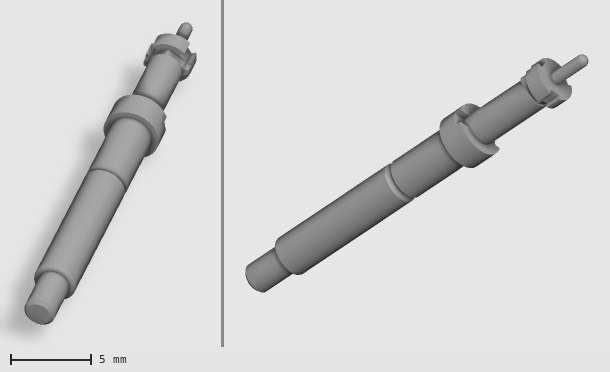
import cadquery as cq

TOTAL_LENGTH = 29.1

TAIL_RADIUS = 2.0 / 2
TAIL_LENGTH = 3.0
BARREL_RADIUS = 2.7 / 2
BARREL_LENGTH = 15.02
TAIL_CHAMFER = 0.23
BARREL_ROUND = 0.25
GROOVE_CENTRE_Y = 13.05
GROOVE_DEPTH = 0.25

COLLAR_RADIUS = 3.6 / 2
COLLAR_LENGTH = 1.78
NOTCH_WIDTH = 1.0
NOTCH_DEPTH = 0.47

NECK_RADIUS = 2.2 / 2
HEAD_RADIUS = 3.0 / 2
HEAD_LENGTH = 1.08
LUG_LENGTH = 0.5
LUG_REACH = 1.45
LUG_TIP_THICKNESS = 0.3
SLOT_WIDTH = 0.75
SLOT_FLOOR_DISTANCE = 1.13
SLOT_ANGLES = (30, 150, 270)
PIN_RADIUS = 0.81 / 2
PIN_LENGTH = 2.75

BARREL_END_Y = TAIL_LENGTH + BARREL_LENGTH
COLLAR_END_Y = BARREL_END_Y + COLLAR_LENGTH
HEAD_END_Y = TOTAL_LENGTH - PIN_LENGTH
HEAD_START_Y = HEAD_END_Y - HEAD_LENGTH
LUG_START_Y = HEAD_START_Y - LUG_LENGTH


def cross_section(start_y):
    """Workplane across the axis: local x is X, local y is Z, negative extrusions run along +Y."""
    plane = cq.Plane(origin=(0, start_y, 0), xDir=(1, 0, 0), normal=(0, -1, 0))
    return cq.Workplane(plane)


def cylinder(radius, start_y, end_y):
    return cross_section(start_y).circle(radius).extrude(start_y - end_y)


def rear_section():
    """Tail and barrel with a chamfered and a rounded rear rim, and a V groove around the barrel."""
    tail = cylinder(TAIL_RADIUS, 0, TAIL_LENGTH).faces("<Y").chamfer(TAIL_CHAMFER)
    barrel = cylinder(BARREL_RADIUS, TAIL_LENGTH, BARREL_END_Y).faces("<Y").edges().fillet(BARREL_ROUND)
    groove = (
        cq.Workplane("XY")
        .moveTo(BARREL_RADIUS - GROOVE_DEPTH, GROOVE_CENTRE_Y)
        .lineTo(BARREL_RADIUS, GROOVE_CENTRE_Y + GROOVE_DEPTH)
        .lineTo(BARREL_RADIUS, GROOVE_CENTRE_Y - GROOVE_DEPTH)
        .close()
        .revolve(360, (0, 0, 0), (0, 1, 0))
    )
    return tail.union(barrel.cut(groove))


def collar():
    """Collar with a notch on each X side of its front rim, cut in as far as the neck."""
    ring = cylinder(COLLAR_RADIUS, BARREL_END_Y, COLLAR_END_Y)
    notches = (
        cross_section(COLLAR_END_Y)
        .rect(2 * COLLAR_RADIUS, NOTCH_WIDTH)
        .extrude(NOTCH_DEPTH)
    )
    return ring.cut(notches)


def lugs():
    """Four sloped flats with ridges at +Z and -Z, ending in blunt lugs at +X and -X."""
    ridge_z = NECK_RADIUS
    tip_z = LUG_TIP_THICKNESS / 2
    outline = [
        (0, ridge_z),
        (LUG_REACH, tip_z),
        (LUG_REACH, -tip_z),
        (0, -ridge_z),
        (-LUG_REACH, -tip_z),
        (-LUG_REACH, tip_z),
    ]
    return cross_section(LUG_START_Y).polyline(outline).close().extrude(-LUG_LENGTH)


def slotted_head():
    """Head disc and lugs with three slots open to the rim, each with a flat floor."""
    head = lugs().union(cylinder(HEAD_RADIUS, HEAD_START_Y, HEAD_END_Y))
    for angle in SLOT_ANGLES:
        slot = (
            cross_section(LUG_START_Y)
            .transformed(rotate=(0, 0, angle))
            .center(SLOT_FLOOR_DISTANCE + HEAD_RADIUS / 2, 0)
            .rect(HEAD_RADIUS, SLOT_WIDTH)
            .extrude(LUG_START_Y - HEAD_END_Y)
        )
        head = head.cut(slot)
    return head


def pin():
    """Pin with a hemispherical tip."""
    tip_centre_y = TOTAL_LENGTH - PIN_RADIUS
    tip = cq.Workplane("XY").sphere(PIN_RADIUS).translate((0, tip_centre_y, 0))
    return cylinder(PIN_RADIUS, HEAD_END_Y, tip_centre_y).union(tip)


neck = cylinder(NECK_RADIUS, COLLAR_END_Y - NOTCH_DEPTH, LUG_START_Y)

result = (
    rear_section()
    .union(collar())
    .union(neck)
    .union(slotted_head())
    .union(pin())
)